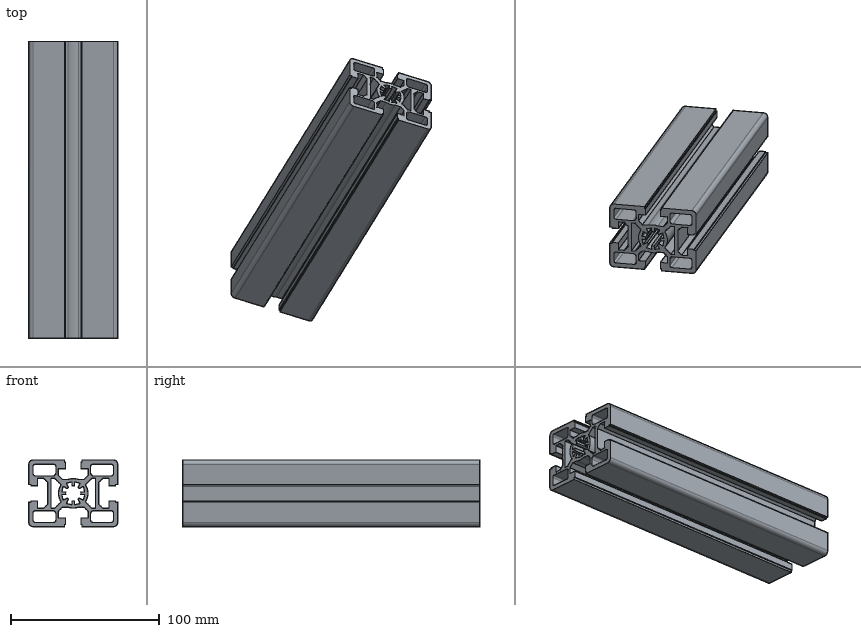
import cadquery as cq
import math

width = 60.0
length = 200.0
height = 45.0
corner_radius = 3.0

slot_mouth = 10.2
slot_inner_width = 20.0
lip_thickness = 6.0
lip_step_width = 0.75
lip_step_depth = 1.5
slot_floor_chamfer = 2.7
top_slot_depth = 13.1
side_slot_depth = 12.8

outer_wall = 3.0
inner_wall = 1.75
pocket_radius = 1.4
pocket_inner_radius = 2.1

tube_outer_radius = 10.0
rib_tip_radius = 5.1
straight_rib_width = 1.9
straight_rib_root = 7.6
tapered_rib_tip_width = 1.3
tapered_rib_root_width = 3.1
tapered_rib_root = 8.05

side_web = 2.3
strut_offset = 2.45

half_width = width / 2
half_height = height / 2
half_slot = slot_inner_width / 2


def extrude_profile(sketch_plane):
    """Extrude a closed profile over the whole length, centred on Y."""
    return sketch_plane.extrude(length / 2, both=True)


def profile_plane():
    return cq.Workplane("XZ")


def make_body():
    body = extrude_profile(profile_plane().rect(width, height))
    return body.edges("|Y").fillet(corner_radius)


def make_slot(face_distance, depth):
    """T-slot cutter that opens at z = face_distance and points towards the axis."""
    half_mouth = slot_mouth / 2
    step_level = face_distance - lip_step_depth
    lip_level = face_distance - lip_thickness
    floor_level = face_distance - depth
    half_floor = half_slot - slot_floor_chamfer
    right_side = [
        (half_mouth + lip_step_width, face_distance),
        (half_mouth + lip_step_width, step_level),
        (half_mouth, step_level),
        (half_mouth, lip_level),
        (half_slot, lip_level),
        (half_slot, floor_level + slot_floor_chamfer),
        (half_floor, floor_level),
    ]
    left_side = [(-x, z) for x, z in reversed(right_side)]
    return extrude_profile(profile_plane().polyline(right_side + left_side).close())


def make_all_slots():
    top_slot = make_slot(half_height, top_slot_depth)
    side_slot = make_slot(half_width, side_slot_depth)
    slots = top_slot.union(turn(top_slot, 180))
    return slots.union(turn(side_slot, 90)).union(turn(side_slot, 270))


def turn(shape, angle):
    """Rotate a shape about the Y axis."""
    return shape.rotate((0, 0, 0), (0, 1, 0), angle)


def mirror_to_quadrants(shape):
    """Repeat a shape from the +X +Z quadrant in all four quadrants."""
    right_half = shape.union(shape.mirror("XY"))
    return right_half.union(right_half.mirror("YZ"))


def make_pockets():
    inner_edge = half_slot + inner_wall
    pocket_width = half_width - outer_wall - inner_edge
    pocket_height = half_height - outer_wall - inner_edge
    center_x = inner_edge + pocket_width / 2
    center_z = inner_edge + pocket_height / 2
    outline = profile_plane().center(center_x, center_z).rect(pocket_width, pocket_height)
    pocket = extrude_profile(outline)
    pocket = pocket.edges("|Y and (>X or >Z)").fillet(pocket_radius)
    inner_corner = cq.selectors.NearestToPointSelector((inner_edge, 0, inner_edge))
    pocket = pocket.edges("|Y").edges(inner_corner).fillet(pocket_inner_radius)
    return mirror_to_quadrants(pocket)


def make_side_cavities():
    """Cavities left and right of the tube, closed off by the side webs."""
    web_face = half_width - side_slot_depth - side_web
    outline = [
        (strut_offset, 0),
        (half_slot + strut_offset, half_slot),
        (web_face, half_slot),
        (web_face, 0),
    ]
    quarter = extrude_profile(profile_plane().polyline(outline).close())
    return mirror_to_quadrants(quarter)


def make_tube():
    return extrude_profile(profile_plane().circle(tube_outer_radius))


def beside_diagonal(distance, offset):
    """Point at a distance along the +X +Z diagonal, offset sideways towards +Z."""
    return ((distance - offset) / math.sqrt(2), (distance + offset) / math.sqrt(2))


def make_bore():
    """Tube bore with eight grooves, which leave straight and tapered ribs by turns."""
    bore = extrude_profile(profile_plane().circle(rib_tip_radius))
    half_rib = straight_rib_width / 2
    half_tip = tapered_rib_tip_width / 2
    tip_distance = math.sqrt(rib_tip_radius**2 - half_tip**2)
    outline = [
        (half_rib, 0),
        (half_rib, straight_rib_root),
        beside_diagonal(tapered_rib_root, tapered_rib_root_width / 2),
        beside_diagonal(tip_distance, half_tip),
    ]
    groove = extrude_profile(profile_plane().polyline(outline).close())
    groove_pair = groove.union(groove.mirror("YZ"))
    for angle in (0, 90, 180, 270):
        bore = bore.union(turn(groove_pair, angle))
    return bore


result = (
    make_body()
    .cut(make_all_slots())
    .cut(make_pockets())
    .cut(make_side_cavities())
    .union(make_tube())
    .cut(make_bore())
)